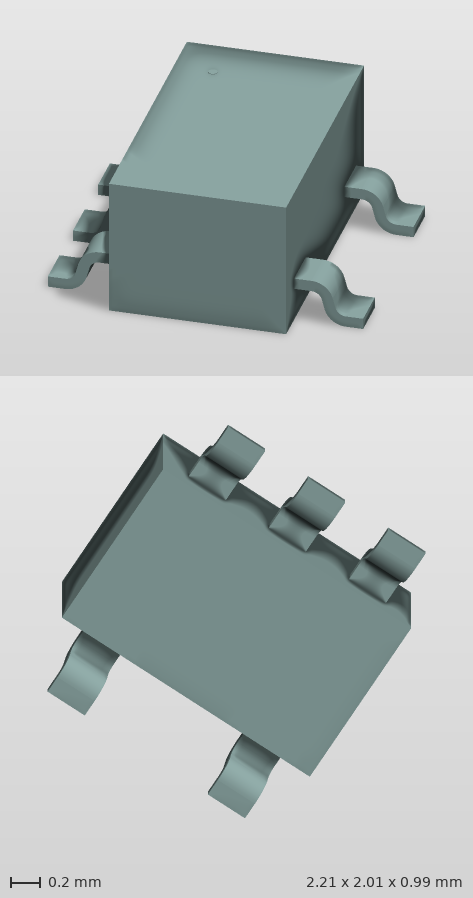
import cadquery as cq
import math

lead_span = 2.21
body_width = 1.242
body_length = 2.01
total_height = 0.99

marker_diameter = 0.062
marker_height = 0.005
marker_edge_distance = 0.278
body_height = total_height - marker_height

lead_thickness = 0.08
lead_width = 0.3
lead_pitch = 0.65
lead_top = 0.32
foot_length = 0.122
inner_radius = 0.075
outer_radius = inner_radius + lead_thickness
bend_angle = math.radians(75)

lead_drop = lead_top - lead_thickness
bend_drop = (inner_radius + outer_radius) * (1 - math.cos(bend_angle))
slope_length = (lead_drop - bend_drop) / math.sin(bend_angle)

tip_x = lead_span / 2
lower_bend_x = tip_x - foot_length
bends_run = (inner_radius + outer_radius) * math.sin(bend_angle) + slope_length * math.cos(bend_angle)
upper_bend_x = lower_bend_x - bends_run
lower_bend_z = outer_radius
upper_bend_z = lead_top - outer_radius

LEFT = -1
RIGHT = 1
lead_positions = [
    (LEFT, -lead_pitch),
    (LEFT, 0),
    (LEFT, lead_pitch),
    (RIGHT, -lead_pitch),
    (RIGHT, lead_pitch),
]


def make_body():
    return cq.Workplane("XY").box(body_width, body_length, body_height, centered=(True, True, False))


def make_marker():
    marker_x = marker_edge_distance - body_width / 2
    return (
        cq.Workplane("XY", origin=(marker_x, lead_pitch, body_height))
        .circle(marker_diameter / 2)
        .extrude(marker_height)
    )


def make_lead(side, center_y):
    """One S-bent lead, running from the body wall on the given side out to its foot."""

    def upper_bend(radius, angle):
        x = upper_bend_x + radius * math.sin(angle)
        return side * x, upper_bend_z + radius * math.cos(angle)

    def lower_bend(radius, angle):
        x = lower_bend_x - radius * math.sin(angle)
        return side * x, lower_bend_z - radius * math.cos(angle)

    half_angle = bend_angle / 2
    wall_x = side * body_width / 2
    foot_x = side * tip_x
    profile = (
        cq.Workplane("XZ")
        .moveTo(wall_x, lead_top)
        .lineTo(*upper_bend(outer_radius, 0))
        .threePointArc(upper_bend(outer_radius, half_angle), upper_bend(outer_radius, bend_angle))
        .lineTo(*lower_bend(inner_radius, bend_angle))
        .threePointArc(lower_bend(inner_radius, half_angle), lower_bend(inner_radius, 0))
        .lineTo(foot_x, lead_thickness)
        .lineTo(foot_x, 0)
        .lineTo(*lower_bend(outer_radius, 0))
        .threePointArc(lower_bend(outer_radius, half_angle), lower_bend(outer_radius, bend_angle))
        .lineTo(*upper_bend(inner_radius, bend_angle))
        .threePointArc(upper_bend(inner_radius, half_angle), upper_bend(inner_radius, 0))
        .lineTo(wall_x, lead_top - lead_thickness)
        .close()
    )
    return profile.extrude(lead_width / 2, both=True).translate((0, center_y, 0))


body = make_body()
marker = make_marker()
leads = [make_lead(side, center_y) for side, center_y in lead_positions]

result = cq.Compound.makeCompound([body.val(), marker.val(), *[lead.val() for lead in leads]])